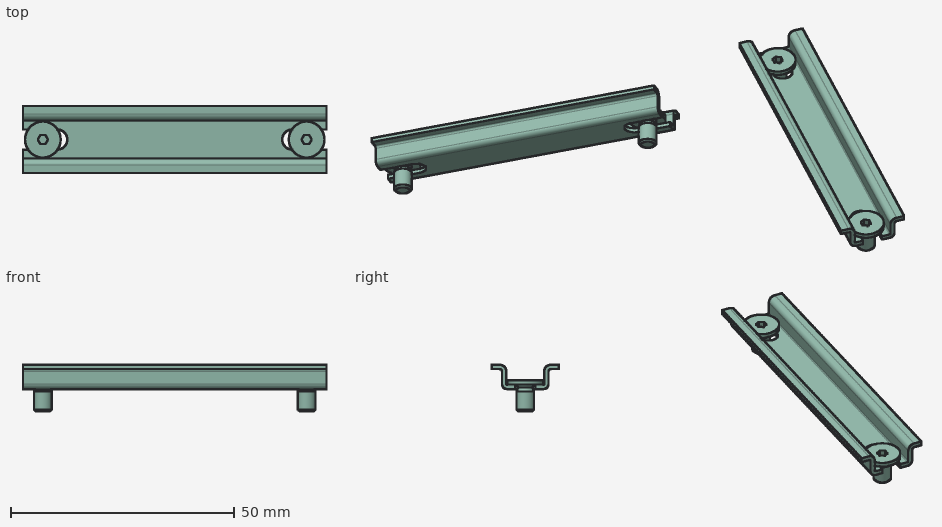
import cadquery as cq

rail_length = 68.0
rail_width = 15.0
rail_height = 5.5
sheet = 1.0
channel_width = 10.5
floor_bend_inner = 0.2
flange_bend_inner = 0.5

slot_width = 4.5
slot_length = 9.9

screw_from_end = 4.5
head_diameter = 8.0
head_height = 1.0
shank_diameter = 4.0
shank_length = 6.0
neck_diameter = 3.25
neck_flare_length = 0.6
neck_taper_length = 0.9
tip_chamfer = 0.5
socket_across_flats = 2.0
socket_depth = 1.6
hexagon_sides = 6
hexagon_flats_to_corners = 2 / 3 ** 0.5


def make_rail():
    wall_outer = channel_width / 2
    wall_inner = wall_outer - sheet
    half_width = rail_width / 2
    half_length = rail_length / 2
    outline = [
        (-half_width, rail_height),
        (-wall_inner, rail_height),
        (-wall_inner, sheet),
        (wall_inner, sheet),
        (wall_inner, rail_height),
        (half_width, rail_height),
        (half_width, rail_height - sheet),
        (wall_outer, rail_height - sheet),
        (wall_outer, 0),
        (-wall_outer, 0),
        (-wall_outer, rail_height - sheet),
        (-half_width, rail_height - sheet),
    ]
    rail = cq.Workplane("YZ").polyline(outline).close().extrude(half_length, both=True)

    bends = (
        (wall_inner, sheet, floor_bend_inner),
        (wall_outer, 0, floor_bend_inner + sheet),
        (wall_outer, rail_height - sheet, flange_bend_inner),
        (wall_inner, rail_height, flange_bend_inner + sheet),
    )
    for y, z, radius in bends:
        for side in (-1, 1):
            corner = cq.selectors.NearestToPointSelector((0, side * y, z))
            rail = rail.edges("|X").edges(corner).fillet(radius)

    for end in (-1, 1):
        slot = (
            cq.Workplane("XY")
            .center(end * half_length, 0)
            .slot2D(2 * slot_length, slot_width)
            .extrude(sheet)
        )
        rail = rail.cut(slot)
    return rail


def make_screw(x):
    head_radius = head_diameter / 2
    shank_radius = shank_diameter / 2
    neck_radius = neck_diameter / 2
    head_top = sheet + head_height
    neck_level = sheet - neck_flare_length
    shank_top = neck_level - neck_taper_length
    tip = sheet - shank_length
    half_section = [
        (0, head_top),
        (head_radius, head_top),
        (head_radius, sheet),
        (shank_radius, sheet),
        (neck_radius, neck_level),
        (shank_radius, shank_top),
        (shank_radius, tip + tip_chamfer),
        (shank_radius - tip_chamfer, tip),
        (0, tip),
    ]
    screw = cq.Workplane("XZ").polyline(half_section).close().revolve(360, (0, 0), (0, 1))

    socket = (
        cq.Workplane("XY", origin=(0, 0, head_top - socket_depth))
        .polygon(hexagon_sides, socket_across_flats * hexagon_flats_to_corners)
        .extrude(socket_depth)
    )
    return screw.cut(socket).translate((x, 0, 0))


rail = make_rail()
screw_x = rail_length / 2 - screw_from_end
screws = [make_screw(end * screw_x) for end in (-1, 1)]

result = cq.Compound.makeCompound([rail.val(), *[screw.val() for screw in screws]])